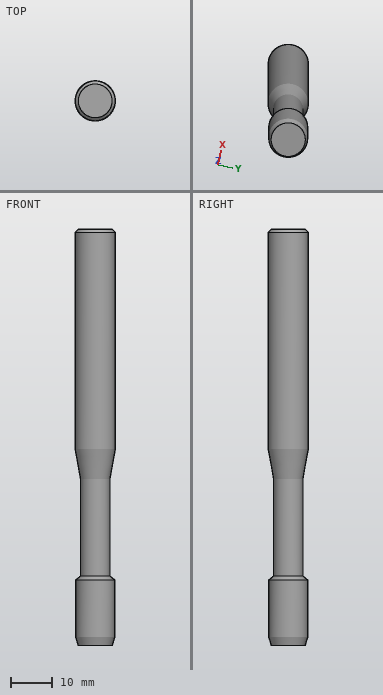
import cadquery as cq

total_length = 100.0
head_length = 16.7
taper_bottom = 40.0
shank_bottom = 47.2

shank_diameter = 9.7
neck_diameter = 7.1
head_diameter = 9.4
head_tip_diameter = 8.2

shank_chamfer = 0.8
head_shoulder_height = 0.9
head_tip_height = 2.0


def make_shank():
    """Holder: chamfered shank tapering down to a slim neck that rests on the head."""
    shank = (
        cq.Workplane("XY", origin=(0, 0, shank_bottom))
        .circle(shank_diameter / 2)
        .extrude(total_length - shank_bottom)
        .faces(">Z")
        .chamfer(shank_chamfer)
    )
    taper = (
        cq.Workplane("XY", origin=(0, 0, taper_bottom))
        .circle(neck_diameter / 2)
        .workplane(offset=shank_bottom - taper_bottom)
        .circle(shank_diameter / 2)
        .loft()
    )
    neck = (
        cq.Workplane("XY", origin=(0, 0, head_length))
        .circle(neck_diameter / 2)
        .extrude(taper_bottom - head_length)
    )
    return shank.union(taper).union(neck)


def make_head():
    """Cylindrical head with a conical shoulder rising to the neck and a tapered tip."""
    head_radius = head_diameter / 2
    profile = (
        cq.Workplane("XZ")
        .lineTo(head_tip_diameter / 2, 0)
        .lineTo(head_radius, head_tip_height)
        .lineTo(head_radius, head_length - head_shoulder_height)
        .lineTo(neck_diameter / 2, head_length)
        .lineTo(0, head_length)
        .close()
    )
    return profile.revolve(360, (0, 0, 0), (0, 1, 0))


shank = make_shank()
head = make_head()

result = cq.Compound.makeCompound([shank.val(), head.val()])